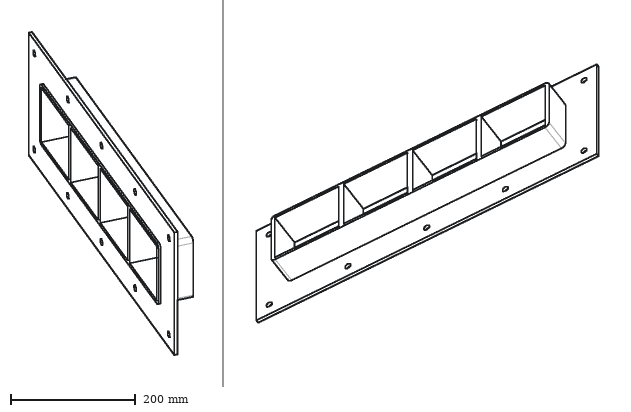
import cadquery as cq

plate_width = 644.0
plate_height = 233.0
plate_thickness = 6.0

frame_width = 525.5
frame_height = 114.5
frame_corner_radius = 8.0
front_projection = 4.0
frame_depth = 60.0

opening_count = 4
opening_width = 120.5
opening_height = 103.0
divider_width = 9.5
opening_pitch = opening_width + divider_width

hole_diameter = 10.0
holes_per_row = 5
hole_pitch = 149.0
hole_row_spacing = 183.0


def slab(width, height, front_y, depth):
    """Centred rectangular block extending back from front_y."""
    return cq.Workplane("XY").box(width, depth, height).translate((0, front_y + depth / 2, 0))


plate = slab(plate_width, plate_height, 0, plate_thickness)
frame = slab(frame_width, frame_height, -front_projection, frame_depth)
frame = frame.edges("|Y").fillet(frame_corner_radius)

openings = (
    cq.Workplane("XZ", origin=(0, -front_projection, 0))
    .rarray(opening_pitch, 6.5, opening_count, 1)
    .rect(opening_width, opening_height)
    .extrude(-frame_depth)
)

mounting_holes = (
    cq.Workplane("XZ")
    .rarray(hole_pitch, hole_row_spacing, holes_per_row, 2)
    .circle(hole_diameter / 2)
    .extrude(-plate_thickness)
)

result = plate.union(frame).cut(openings).cut(mounting_holes)